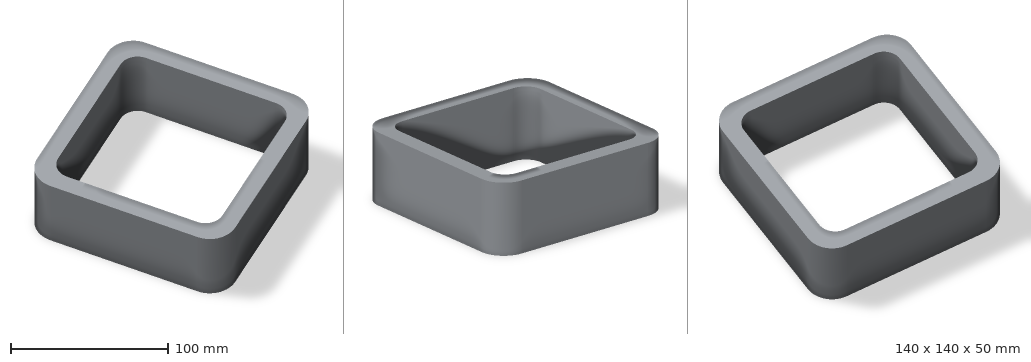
import cadquery as cq

side = 140.0
length = 50.0
wall = 12.0
outer_radius = 1.5 * wall
inner_radius = wall


def rounded_square_bar(width, corner_radius):
    """Square bar along Z with its four long edges rounded."""
    return (
        cq.Workplane("XY")
        .rect(width, width)
        .extrude(length)
        .edges("|Z")
        .fillet(corner_radius)
    )


outer_body = rounded_square_bar(side, outer_radius)
bore = rounded_square_bar(side - 2 * wall, inner_radius)

result = outer_body.cut(bore)